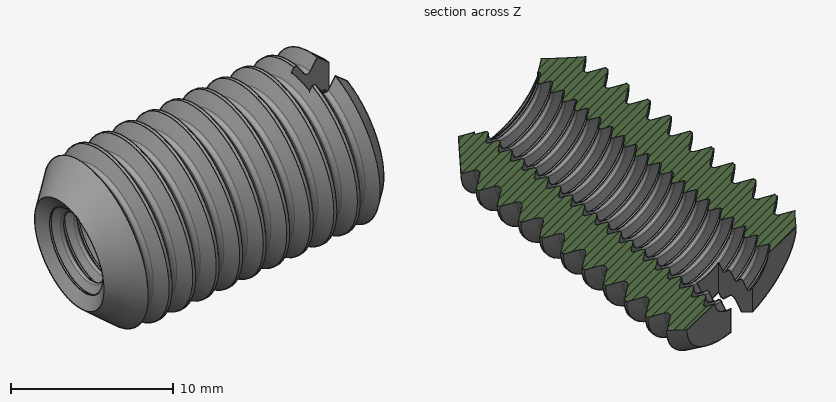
import cadquery as cq
import math

length = 20.0
outer_diameter = 12.0
nose_radius = 3.85
slotted_end_radius = 5.05

eight_pitch_span = 14.0
outer_pitch = eight_pitch_span / 8
outer_groove_count = math.floor(length / outer_pitch)

bore_diameter = 6.0
bore_pitch = 1.0
bore_first_crest = 0.62
bore_groove_count = math.ceil(length / bore_pitch) + 1

flank_half_angle = math.radians(30)
countersink_half_angle = math.radians(60)

slot_width = 2.0
slot_depth = 2.8


def revolve_about_y(profile):
    """Close a profile, drawn with X as radius, and turn it about the Y axis."""
    return profile.close().revolve(360, (0, 0, 0), (0, 1, 0))


def ringed_rod(major_diameter, pitch, start_crest, groove_count):
    """Rod with ring-shaped metric thread grooves that have straight flanks and rounded roots.

    It starts at the middle of a crest, and continues plain to the full length if the grooves
    end short of it.
    """
    major_radius = major_diameter / 2
    half_crest = pitch / 16
    half_root = pitch / 8
    flank_run = pitch / 2 - half_crest - half_root
    flank_end_radius = major_radius - flank_run / math.tan(flank_half_angle)
    root_arc_radius = half_root / math.cos(flank_half_angle)
    root_radius = flank_end_radius - root_arc_radius * (1 - math.sin(flank_half_angle))

    profile = cq.Workplane("XY").moveTo(0, start_crest).lineTo(major_radius, start_crest)
    for groove in range(groove_count):
        crest = start_crest + groove * pitch
        root = crest + pitch / 2
        profile = (
            profile.lineTo(major_radius, crest + half_crest)
            .lineTo(flank_end_radius, root - half_root)
            .threePointArc((root_radius, root), (flank_end_radius, root + half_root))
            .lineTo(major_radius, crest + pitch - half_crest)
        )
    last_crest = start_crest + groove_count * pitch
    rod_end = max(length, last_crest)
    return revolve_about_y(profile.lineTo(major_radius, rod_end).lineTo(0, rod_end))


def chamfered_blank():
    """Plain cylinder with a 45 degree chamfer on each end."""
    radius = outer_diameter / 2
    nose_chamfer = radius - nose_radius
    slotted_end_chamfer = radius - slotted_end_radius
    profile = (
        cq.Workplane("XY")
        .lineTo(nose_radius, 0)
        .lineTo(radius, nose_chamfer)
        .lineTo(radius, length - slotted_end_chamfer)
        .lineTo(slotted_end_radius, length)
        .lineTo(0, length)
    )
    return revolve_about_y(profile)


def nose_countersink():
    """Cone that meets the nose chamfer in a sharp rim."""
    depth = nose_radius / math.tan(countersink_half_angle)
    return revolve_about_y(cq.Workplane("XY").lineTo(nose_radius, 0).lineTo(0, depth))


def driving_slot():
    """Straight slot along Z, open through both sides of the +Y end."""
    slot_center = (0, length - slot_depth / 2, 0)
    return cq.Workplane("XY").box(slot_width, slot_depth, outer_diameter).translate(slot_center)


outer_thread = ringed_rod(outer_diameter, outer_pitch, 0, outer_groove_count)
bore_start_crest = bore_first_crest - bore_pitch
bore_thread = ringed_rod(bore_diameter, bore_pitch, bore_start_crest, bore_groove_count)

body = chamfered_blank().intersect(outer_thread)
result = body.cut(bore_thread).cut(nose_countersink()).cut(driving_slot())